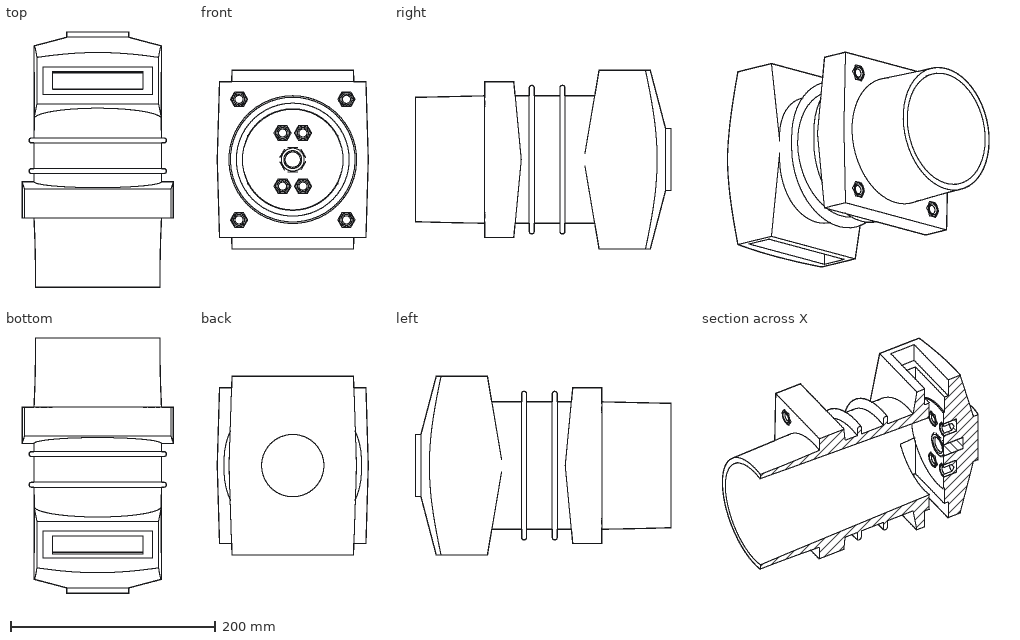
import cadquery as cq
import math

total_length = 250.0

tube_radius = 62.5
tube_mouth_radius = 61.0
bore_mouth_radius = 55.2
floor_radius = 49.2
floor_thickness = 40.2
floor_y = total_length - floor_thickness

boss_radius = 30.5
boss_height = 5.2
cone_slope = math.tan(math.radians(14.7))

head_half_height = 87.5
head_end_half_width = 59.5
head_side_draft = 1.9
head_mid_half_width = head_end_half_width + head_half_height * math.tan(math.radians(head_side_draft))
head_mid_front_y = 164.8
head_end_front_y = 179.5

slot_length = 88.2
slot_front_y = 194.0
slot_rear_y = 211.2
recess_length = 106.8
recess_front_y = 188.8
recess_rear_y = 215.5
recess_depth = 20.0

rib_half_width = 67.2
rib_half_height = 72.8
rib_thickness = 5.0
rib_edge_radius = rib_thickness / 2
rib_centres_y = (113.8, 143.8)

flange_half_height = 76.2
flange_mid_half_width = 74.0
flange_end_half_width = 71.8
flange_front_y = 67.8
flange_mid_rear_y = 103.5
flange_end_rear_y = 96.2

insert_chamfer_angle = 30.0
drill_point_angle = 118.0

large_across_flats = 24.0
large_face_diameter = 22.5
large_countersink_diameter = 17.5
large_hole_diameter = 15.0
large_length = 22.5
large_hole_depth = 15.0

small_across_flats = 14.5
small_face_diameter = 13.5
small_countersink_diameter = 10.8
small_hole_diameter = 8.0
small_length = 15.0
small_hole_depth = 10.0

flange_insert_x = 52.5
flange_insert_z = 59.0
floor_insert_x = 10.0
floor_insert_z = 26.0


def revolved(profile):
    """Turn a closed outline of (y, radius) points about the Y axis."""
    return cq.Workplane("YZ").polyline(profile).close().revolve(360, (0, 0), (1, 0))


def side_prism(outline, half_width):
    """Extrude an outline of (y, z) points to both sides of X = 0."""
    return cq.Workplane("YZ").polyline(outline).close().extrude(half_width, both=True)


def peaked_prism(mid_half_width, end_half_width, half_height):
    """A bar along Y that is widest at Z = 0 and narrows toward its upper and lower ends."""
    outline = [
        (mid_half_width, 0),
        (end_half_width, half_height),
        (-end_half_width, half_height),
        (-mid_half_width, 0),
        (-end_half_width, -half_height),
        (end_half_width, -half_height),
    ]
    return cq.Workplane("XZ").polyline(outline).close().extrude(-total_length)


def block(length, front_y, rear_y, bottom_z, top_z):
    """A box centred on X = 0."""
    size = (length, rear_y - front_y, top_z - bottom_z)
    centre = (0, (front_y + rear_y) / 2, (bottom_z + top_z) / 2)
    return cq.Workplane("XY").box(*size).translate(centre)


def make_head():
    profile = [
        (head_mid_front_y, 0),
        (head_end_front_y, head_half_height),
        (total_length, head_half_height),
        (total_length, -head_half_height),
        (head_end_front_y, -head_half_height),
    ]
    sides = peaked_prism(head_mid_half_width, head_end_half_width, head_half_height)
    return sides.intersect(side_prism(profile, tube_radius))


def make_flange():
    profile = [
        (flange_front_y, -flange_half_height),
        (flange_front_y, flange_half_height),
        (flange_end_rear_y, flange_half_height),
        (flange_mid_rear_y, 0),
        (flange_end_rear_y, -flange_half_height),
    ]
    sides = peaked_prism(flange_mid_half_width, flange_end_half_width, flange_half_height)
    return sides.intersect(side_prism(profile, flange_mid_half_width))


def make_tube():
    return revolved([
        (0, 0),
        (0, tube_mouth_radius),
        (flange_front_y, tube_radius),
        (total_length, tube_radius),
        (total_length, 0),
    ])


def make_end_envelope():
    """The space inside the conical closed end and its boss."""
    envelope_radius = 2 * head_half_height
    cone_tip_y = total_length - boss_height
    cone_rim_y = cone_tip_y - (envelope_radius - boss_radius) * cone_slope
    return revolved([
        (-total_length, 0),
        (-total_length, envelope_radius),
        (cone_rim_y, envelope_radius),
        (cone_tip_y, boss_radius),
        (total_length, boss_radius),
        (total_length, 0),
    ])


def make_rib(centre_y):
    """A round-edged rib with semicircular upper and lower ends and short straight sides."""
    end_offset = rib_half_height - rib_half_width
    disc = (
        cq.Workplane("XY")
        .moveTo(0, -rib_edge_radius)
        .lineTo(rib_half_width - rib_edge_radius, -rib_edge_radius)
        .threePointArc((rib_half_width, 0), (rib_half_width - rib_edge_radius, rib_edge_radius))
        .lineTo(0, rib_edge_radius)
        .close()
        .revolve(360, (0, 0), (0, 1))
    )
    straight_sides = cq.Workplane("XY").slot2D(2 * rib_half_width, rib_thickness)
    straight_sides = straight_sides.extrude(end_offset, both=True)
    rib = straight_sides.union(disc.translate((0, 0, end_offset)))
    rib = rib.union(disc.translate((0, 0, -end_offset)))
    return rib.translate((0, centre_y, 0))


def make_bore():
    return revolved([
        (0, 0),
        (0, bore_mouth_radius),
        (floor_y, floor_radius),
        (floor_y, 0),
    ])


def make_slot():
    """The slot through the wall, stopping short at the round floor of the bore, and both recesses."""
    floor_core = revolved([
        (floor_y, 0),
        (floor_y, floor_radius),
        (total_length, floor_radius),
        (total_length, 0),
    ])
    slot = block(slot_length, slot_front_y, slot_rear_y, -head_half_height, head_half_height)
    slot = slot.cut(floor_core)
    recess_floor_z = head_half_height - recess_depth
    recess = block(recess_length, recess_front_y, recess_rear_y, recess_floor_z, head_half_height)
    return slot.union(recess).union(recess.mirror("XY"))


def make_insert_blank(across_flats, face_diameter, length):
    """A hexagonal bar from Y = 0 to Y = length, its front corners chamfered to a round face."""
    across_corners = across_flats / math.cos(math.pi / 6)
    chamfer_width = (across_corners - face_diameter) / 2
    chamfer_length = chamfer_width * math.tan(math.radians(insert_chamfer_angle))
    chamfered_bar = revolved([
        (0, 0),
        (0, face_diameter / 2),
        (chamfer_length, across_corners / 2),
        (length, across_corners / 2),
        (length, 0),
    ])
    return cq.Workplane("XZ").polygon(6, across_corners).extrude(-length).intersect(chamfered_bar)


def make_blind_hole(countersink_diameter, hole_diameter, depth):
    """A countersunk hole that opens at Y = 0 and ends in a drill point."""
    hole_radius = hole_diameter / 2
    countersink_radius = countersink_diameter / 2
    drill_point_length = hole_radius / math.tan(math.radians(drill_point_angle / 2))
    return revolved([
        (0, 0),
        (0, countersink_radius),
        (countersink_radius - hole_radius, hole_radius),
        (depth, hole_radius),
        (depth + drill_point_length, 0),
    ])


def corners(x, z, y):
    """The four places (+-x, y, +-z)."""
    return [(side * x, y, level * z) for side in (-1, 1) for level in (-1, 1)]


large_insert_place = (0, floor_y, 0)
small_insert_places = corners(flange_insert_x, flange_insert_z, flange_front_y)
small_insert_places += corners(floor_insert_x, floor_insert_z, floor_y)

large_blank = make_insert_blank(large_across_flats, large_face_diameter, large_length)
large_hole = make_blind_hole(large_countersink_diameter, large_hole_diameter, large_hole_depth)
large_insert = large_blank.cut(large_hole).translate(large_insert_place)

small_blank = make_insert_blank(small_across_flats, small_face_diameter, small_length)
small_hole = make_blind_hole(small_countersink_diameter, small_hole_diameter, small_hole_depth)
small_insert = small_blank.cut(small_hole)
small_inserts = []
for place in small_insert_places:
    small_inserts.append(small_insert.translate(place).solids().val())

housing = make_tube().union(make_head()).intersect(make_end_envelope())
housing = housing.union(make_flange())
for rib_y in rib_centres_y:
    housing = housing.union(make_rib(rib_y))
housing = housing.cut(make_bore()).cut(make_slot())
housing = housing.cut(large_blank.translate(large_insert_place))
for place in small_insert_places:
    housing = housing.cut(small_blank.translate(place))

bodies = [housing.solids().val(), large_insert.solids().val(), *small_inserts]
result = cq.Compound.makeCompound(bodies)